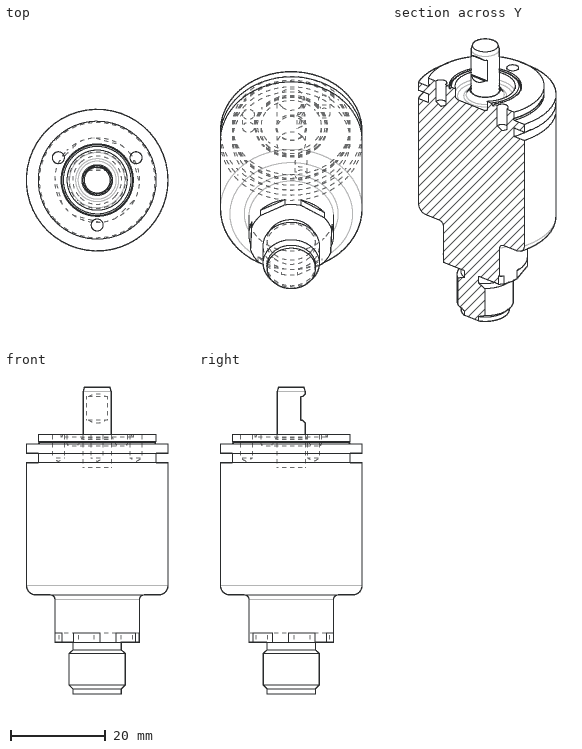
import cadquery as cq
import math

TOTAL_HEIGHT = 65.0
SHAFT_PROJECTION = 10.0
BOSS_HEIGHT = 2.0
FLANGE_THICKNESS = 2.0
GROOVE_WIDTH = 1.95
BARREL_HEIGHT = 28.0
NECK_HEIGHT = 10.0

face_z = TOTAL_HEIGHT - SHAFT_PROJECTION
flange_top_z = face_z - BOSS_HEIGHT
groove_top_z = flange_top_z - FLANGE_THICKNESS
barrel_top_z = groove_top_z - GROOVE_WIDTH
barrel_bottom_z = barrel_top_z - BARREL_HEIGHT
neck_bottom_z = barrel_bottom_z - NECK_HEIGHT

BARREL_RADIUS = 15.0
BOSS_RADIUS = 12.5
NECK_RADIUS = 9.0
BARREL_FILLET = 2.0
NECK_FILLET = 1.0
RELIEF_HEIGHT = 0.5
RELIEF_DEPTH = 0.25

CONNECTOR_RADIUS = 6.0
CONNECTOR_CORE_RADIUS = 5.15
PILOT_HEIGHT = 1.1
THREAD_BOTTOM_CONE = 0.85
THREAD_HEIGHT = 6.7
THREAD_TOP_CONE = 0.7

ACROSS_FLATS = 16.95
FLATS_HEIGHT = 2.0
FLATS_ANGLE = 15.0
FLAT_COUNT = 6

SEAL_OUTER_RADIUS = 7.7
SEAL_GROOVE_DEPTH = 0.5
SEAL_GROOVE_FLOOR = 0.2
SEAL_GROOVE_SLOPE = 0.3
RECESS_RADIUS = 6.4
RECESS_DEPTH = 2.5
RECESS_FILLET = 0.5
LIP_BASE_RADIUS = 4.55
LIP_CONE_RADIUS = 4.0
LIP_CREST_RADIUS = 3.25
LIP_SLOPE_ANGLE = 60.0

HOLE_COUNT = 3
HOLE_RADIUS = 1.27
HOLE_CIRCLE_RADIUS = 9.5
HOLE_DEPTH = 5.0
HOLE_FIRST_ANGLE = 30.0
DRILL_POINT_ANGLE = 118.0

SHAFT_RADIUS = 3.0
SHAFT_SEAT_DEPTH = 7.0
TIP_CHAMFER_LENGTH = 1.0
TIP_CHAMFER_INSET = 0.25
FLAT_DEPTH = 1.0
FLAT_LENGTH = 5.0
FLAT_TOP_OFFSET = 2.0
FLAT_END_CHAMFER = 0.6


def revolve_about_z(outline):
    """Closes a half profile drawn in XZ and turns it fully around the Z axis."""
    return outline.close().revolve(360, (0, 0, 0), (0, 1, 0))


def housing_blank():
    """Everything round on the housing, including the seal recess and the shaft seat."""
    thread_bottom_z = PILOT_HEIGHT + THREAD_BOTTOM_CONE
    thread_top_z = thread_bottom_z + THREAD_HEIGHT
    groove_floor_radius = SEAL_OUTER_RADIUS - SEAL_GROOVE_FLOOR
    relief_radius = BOSS_RADIUS - RELIEF_DEPTH
    floor_z = face_z - RECESS_DEPTH
    lip_slope = math.radians(LIP_SLOPE_ANGLE)
    lip_arc_rise = (LIP_BASE_RADIUS - LIP_CONE_RADIUS) * math.tan(lip_slope / 2)
    lip_cone_z = floor_z + lip_arc_rise
    lip_crest_z = lip_cone_z + (LIP_CONE_RADIUS - LIP_CREST_RADIUS) * math.tan(lip_slope)
    lip_contact_z = lip_crest_z - (LIP_CREST_RADIUS - SHAFT_RADIUS)

    outline = (
        cq.Workplane("XZ")
        .moveTo(0, 0)
        .lineTo(CONNECTOR_CORE_RADIUS, 0)
        .lineTo(CONNECTOR_CORE_RADIUS, PILOT_HEIGHT)
        .lineTo(CONNECTOR_RADIUS, thread_bottom_z)
        .lineTo(CONNECTOR_RADIUS, thread_top_z)
        .lineTo(CONNECTOR_CORE_RADIUS, thread_top_z + THREAD_TOP_CONE)
        .lineTo(CONNECTOR_CORE_RADIUS, neck_bottom_z)
        .lineTo(NECK_RADIUS, neck_bottom_z)
        .lineTo(NECK_RADIUS, barrel_bottom_z - NECK_FILLET)
        .tangentArcPoint((NECK_RADIUS + NECK_FILLET, barrel_bottom_z), relative=False)
        .lineTo(BARREL_RADIUS - BARREL_FILLET, barrel_bottom_z)
        .tangentArcPoint((BARREL_RADIUS, barrel_bottom_z + BARREL_FILLET), relative=False)
        .lineTo(BARREL_RADIUS, barrel_top_z)
        .lineTo(BOSS_RADIUS, barrel_top_z)
        .lineTo(BOSS_RADIUS, groove_top_z)
        .lineTo(BARREL_RADIUS, groove_top_z)
        .lineTo(BARREL_RADIUS, flange_top_z)
        .lineTo(BOSS_RADIUS, flange_top_z)
        .lineTo(relief_radius, flange_top_z + RELIEF_HEIGHT / 2)
        .lineTo(BOSS_RADIUS, flange_top_z + RELIEF_HEIGHT)
        .lineTo(BOSS_RADIUS, face_z)
        .lineTo(SEAL_OUTER_RADIUS, face_z)
        .lineTo(SEAL_OUTER_RADIUS, face_z - SEAL_GROOVE_DEPTH)
        .lineTo(groove_floor_radius, face_z - SEAL_GROOVE_DEPTH)
        .lineTo(groove_floor_radius - SEAL_GROOVE_SLOPE, face_z)
        .lineTo(RECESS_RADIUS, face_z)
        .lineTo(RECESS_RADIUS, floor_z + RECESS_FILLET)
        .tangentArcPoint((RECESS_RADIUS - RECESS_FILLET, floor_z), relative=False)
        .lineTo(LIP_BASE_RADIUS, floor_z)
        .tangentArcPoint((LIP_CONE_RADIUS, lip_cone_z), relative=False)
        .lineTo(LIP_CREST_RADIUS, lip_crest_z)
        .lineTo(SHAFT_RADIUS, lip_contact_z)
        .lineTo(SHAFT_RADIUS, face_z - SHAFT_SEAT_DEPTH)
        .lineTo(0, face_z - SHAFT_SEAT_DEPTH)
    )
    return revolve_about_z(outline)


def wrench_flat_cutter():
    """Ring around the neck's lower end with a hexagonal opening."""
    across_corners = ACROSS_FLATS / math.cos(math.pi / FLAT_COUNT)
    return (
        cq.Workplane("XY")
        .workplane(offset=neck_bottom_z)
        .circle(BARREL_RADIUS)
        .extrude(FLATS_HEIGHT)
        .cut(
            cq.Workplane("XY")
            .workplane(offset=neck_bottom_z)
            .polygon(FLAT_COUNT, across_corners)
            .extrude(FLATS_HEIGHT)
            .rotate((0, 0, 0), (0, 0, 1), FLATS_ANGLE + 180 / FLAT_COUNT)
        )
    )


def mounting_hole_cutter(angle):
    """Blind drilled hole with a conical bottom, placed on the hole circle."""
    cone_height = HOLE_RADIUS / math.tan(math.radians(DRILL_POINT_ANGLE / 2))
    outline = (
        cq.Workplane("XZ")
        .moveTo(0, face_z)
        .lineTo(HOLE_RADIUS, face_z)
        .lineTo(HOLE_RADIUS, face_z - HOLE_DEPTH)
        .lineTo(0, face_z - HOLE_DEPTH - cone_height)
    )
    drill = revolve_about_z(outline)
    return drill.translate((HOLE_CIRCLE_RADIUS, 0, 0)).rotate((0, 0, 0), (0, 0, 1), angle)


def make_housing():
    body = housing_blank().cut(wrench_flat_cutter())
    for index in range(HOLE_COUNT):
        body = body.cut(mounting_hole_cutter(HOLE_FIRST_ANGLE + index * 360 / HOLE_COUNT))
    return body


def make_shaft():
    """Round shaft with a tapered tip and a milled flat on its +Y side."""
    outline = (
        cq.Workplane("XZ")
        .moveTo(0, face_z - SHAFT_SEAT_DEPTH)
        .lineTo(SHAFT_RADIUS, face_z - SHAFT_SEAT_DEPTH)
        .lineTo(SHAFT_RADIUS, TOTAL_HEIGHT - TIP_CHAMFER_LENGTH)
        .lineTo(SHAFT_RADIUS - TIP_CHAMFER_INSET, TOTAL_HEIGHT)
        .lineTo(0, TOTAL_HEIGHT)
    )
    flat_top_z = TOTAL_HEIGHT - FLAT_TOP_OFFSET
    flat_bottom_z = flat_top_z - FLAT_LENGTH
    flat_y = SHAFT_RADIUS - FLAT_DEPTH
    chamfer_y = SHAFT_RADIUS - FLAT_END_CHAMFER
    flat_cutter = (
        cq.Workplane("YZ")
        .moveTo(flat_y, flat_bottom_z)
        .lineTo(chamfer_y, flat_bottom_z)
        .lineTo(SHAFT_RADIUS, flat_bottom_z - FLAT_END_CHAMFER)
        .lineTo(SHAFT_RADIUS, flat_top_z + FLAT_END_CHAMFER)
        .lineTo(chamfer_y, flat_top_z)
        .lineTo(flat_y, flat_top_z)
        .close()
        .extrude(SHAFT_RADIUS, both=True)
    )
    return revolve_about_z(outline).cut(flat_cutter)


housing = make_housing()
shaft = make_shaft()

result = cq.Compound.makeCompound([housing.solids().val(), shaft.solids().val()])